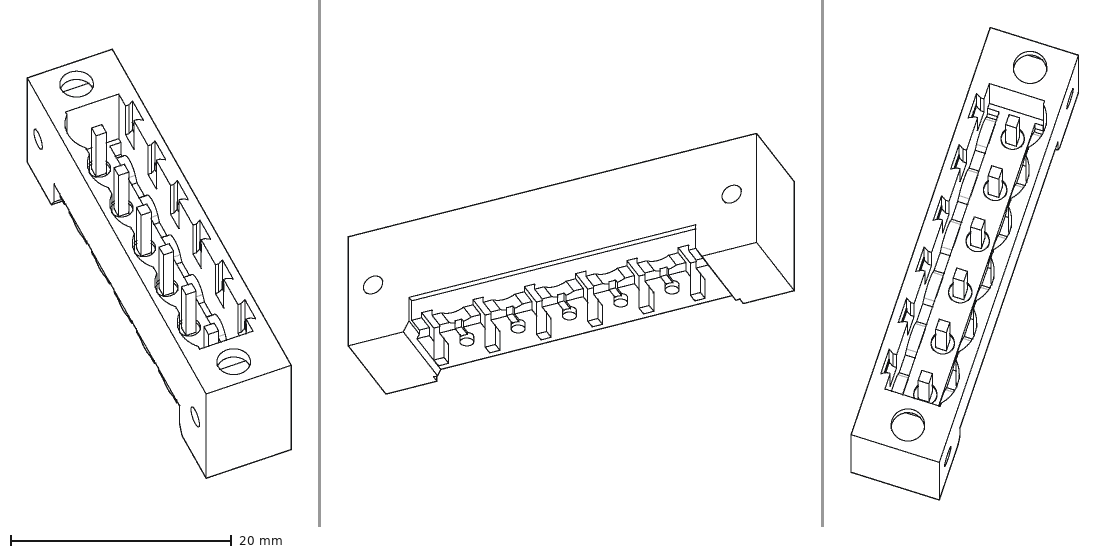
import cadquery as cq
import math

LENGTH = 40.5
WIDTH = 8.4
HEIGHT = 12.02
FRONT = -WIDTH / 2
BACK = WIDTH / 2

PIN_COUNT = 6
PIN_ROW_LENGTH = 25.42
PIN_PITCH = PIN_ROW_LENGTH / (PIN_COUNT - 1)
PIN_Y = -0.4
PIN_SIDE = 1.0
PIN_BOTTOM = -1.45
PIN_TOP = 11.1
PIN_XS = [i * PIN_PITCH - PIN_ROW_LENGTH / 2 for i in range(PIN_COUNT)]
MID_XS = [x + PIN_PITCH / 2 for x in PIN_XS[:-1]]

CAVITY_LENGTH = 30.35
CAVITY_HALF_WIDTH = 2.65
CAVITY_FLOOR = 5.65
SCALLOP_RADIUS = 3.1
SCALLOP_FRONT = -3.5

TRENCH_LENGTH = 29.4
TRENCH_FLOOR = 3.95
STRIP_FRONT = -1.9
STRIP_BACK = 1.55
RIDGE_WIDTH = 3.3
RIDGE_CROWN_RADIUS = 1.5
RIDGE_FLANK_ANGLE = 58.0

PIN_RECESS_DIAMETER = 2.1
PIN_RECESS_DEPTH = 0.4

DOVETAIL_NECK = 1.85
DOVETAIL_BASE = 2.43
DOVETAIL_NECK_END = 2.95
DOVETAIL_BACK = 3.45
DOVETAIL_FLOOR = 7.95

FLANGE_HOLE_X = 17.77
SCREW_HOLE_DIAMETER = 3.05
SCREW_HOLE_DEPTH = 1.17
NUT_SLOT_WIDTH = 3.72
NUT_SLOT_FLOOR = 9.1
CROSS_HOLE_DIAMETER = 1.9
CROSS_HOLE_Z = HEIGHT / 2

UNDERCUT_LENGTH = 28.4
CORE_BOTTOM = 0.6
FLANGE_CHAMFER_X = 0.55
FLANGE_CHAMFER_Z = 1.05
FRONT_RECESS_DEPTH = 0.6
WALL_FRONT = FRONT + FRONT_RECESS_DEPTH
FRONT_RECESS_TOP = 3.65
BACK_RECESS_LENGTH = CAVITY_LENGTH
BACK_RECESS_TOP = 8.85
FRONT_WALL_BOTTOM = 1.5
SAG_DEPTH = 0.3
SAG_WIDTH = 2.2
PIN_SLOT_TOP = 2.05

PEG_DIAMETER = 1.25
PEG_Y = PIN_Y
RIB_WIDTH = 0.65
RIB_BOTTOM = 0.35
RIB_FRONT = -2.3


def block(length, y_range, z_range, x=0.0):
    """Box centred on x, between the given Y and Z limits."""
    y0, y1 = y_range
    z0, z1 = z_range
    return cq.Workplane("XY").box(length, y1 - y0, z1 - z0).translate((x, (y0 + y1) / 2, (z0 + z1) / 2))


def upright(diameter, x, y, z0, z1):
    """Vertical cylinder from z0 to z1."""
    return cq.Workplane("XY", origin=(x, y, z0)).circle(diameter / 2).extrude(z1 - z0)


def make_scallop(x):
    """Round bay in the front wall of the cavity, opposite the pin at x."""
    round_bay = upright(2 * SCALLOP_RADIUS, x, SCALLOP_FRONT + SCALLOP_RADIUS, TRENCH_FLOOR, HEIGHT)
    return round_bay.intersect(block(PIN_PITCH, (FRONT, -CAVITY_HALF_WIDTH), (TRENCH_FLOOR, HEIGHT), x))


def make_ridge(x):
    """Ridge on the trench floor, running along Y: a round crown on two flanks tangent to it."""
    angle = math.radians(RIDGE_FLANK_ANGLE)
    half = RIDGE_WIDTH / 2
    tangent_x = RIDGE_CROWN_RADIUS * math.sin(angle)
    tangent_z = (half - tangent_x) * math.tan(angle)
    crown_z = tangent_z + RIDGE_CROWN_RADIUS * (1 - math.cos(angle))
    return (
        cq.Workplane("XZ", origin=(x, CAVITY_HALF_WIDTH, TRENCH_FLOOR))
        .moveTo(-half, 0)
        .lineTo(-tangent_x, tangent_z)
        .threePointArc((0, crown_z), (tangent_x, tangent_z))
        .lineTo(half, 0)
        .close()
        .extrude(CAVITY_HALF_WIDTH - FRONT)
    )


def make_cavity():
    """Open space above the cavity floor, including the trenches but not the ridges in them."""
    cavity = block(CAVITY_LENGTH, (-CAVITY_HALF_WIDTH, CAVITY_HALF_WIDTH), (CAVITY_FLOOR, HEIGHT))
    trench_z = (TRENCH_FLOOR, CAVITY_FLOOR)
    front_trench = block(TRENCH_LENGTH, (-CAVITY_HALF_WIDTH, STRIP_FRONT), trench_z)
    back_trench = block(TRENCH_LENGTH, (STRIP_BACK, CAVITY_HALF_WIDTH), trench_z)
    cavity = cavity.union(front_trench).union(back_trench)
    for x in PIN_XS:
        cavity = cavity.union(make_scallop(x))
    for x in PIN_XS:
        cavity = cavity.cut(make_ridge(x))
    return cavity


def make_dovetail(x):
    """Groove in the back wall: a straight neck that flares to a wider base."""
    neck = DOVETAIL_NECK / 2
    base = DOVETAIL_BASE / 2
    return (
        cq.Workplane("XY", origin=(x, 0, DOVETAIL_FLOOR))
        .polyline([
            (-neck, CAVITY_HALF_WIDTH),
            (neck, CAVITY_HALF_WIDTH),
            (neck, DOVETAIL_NECK_END),
            (base, DOVETAIL_BACK),
            (-base, DOVETAIL_BACK),
            (-neck, DOVETAIL_NECK_END),
        ])
        .close()
        .extrude(HEIGHT - DOVETAIL_FLOOR)
    )


def make_undercut(y0, y1, top):
    """Space between the flanges from Z = 0 up to top, widened at the foot by the flange chamfers."""
    half = UNDERCUT_LENGTH / 2
    foot = half + FLANGE_CHAMFER_X
    space = (
        cq.Workplane("XZ", origin=(0, y1, 0))
        .polyline([
            (-foot, 0),
            (foot, 0),
            (half, FLANGE_CHAMFER_Z),
            (half, HEIGHT),
            (-half, HEIGHT),
            (-half, FLANGE_CHAMFER_Z),
        ])
        .close()
        .extrude(y1 - y0)
    )
    return space.intersect(block(LENGTH, (y0, y1), (0, top)))


def make_sag(x):
    """Arched bulge on the lower edge of the front wall, midway between pins."""
    return (
        cq.Workplane("XZ", origin=(x, STRIP_FRONT, FRONT_WALL_BOTTOM))
        .moveTo(-SAG_WIDTH / 2, 0)
        .threePointArc((0, -SAG_DEPTH), (SAG_WIDTH / 2, 0))
        .close()
        .extrude(STRIP_FRONT - WALL_FRONT)
    )


def make_standoff(x):
    """Foot peg midway between two pins, with a rib on its front side."""
    peg = upright(PEG_DIAMETER, x, PEG_Y, 0, FRONT_WALL_BOTTOM)
    rib = block(RIB_WIDTH, (RIB_FRONT, PEG_Y), (RIB_BOTTOM, FRONT_WALL_BOTTOM), x)
    return peg.union(rib)


def make_pin_opening(x):
    """Room for one pin: its own hole, the round recess on top and the slot from the front wall."""
    recess = upright(PIN_RECESS_DIAMETER, x, PIN_Y, CAVITY_FLOOR - PIN_RECESS_DEPTH, CAVITY_FLOOR)
    slot = block(PIN_SIDE, (WALL_FRONT, PIN_Y), (0, PIN_SLOT_TOP), x)
    return make_pin(x).union(recess).union(slot)


def make_flange_holes(x):
    """Screw hole, the nut slot under it that opens at the back, and the cross hole."""
    slot_top = HEIGHT - SCREW_HOLE_DEPTH
    screw_hole = upright(SCREW_HOLE_DIAMETER, x, PIN_Y, slot_top, HEIGHT)
    nut_slot = block(NUT_SLOT_WIDTH, (PIN_Y - NUT_SLOT_WIDTH / 2, BACK), (NUT_SLOT_FLOOR, slot_top), x)
    cross_section = cq.Workplane("XZ", origin=(x, BACK, CROSS_HOLE_Z)).circle(CROSS_HOLE_DIAMETER / 2)
    cross_hole = cross_section.extrude(WIDTH)
    return screw_hole.union(nut_slot).union(cross_hole)


def make_housing():
    """Housing block with its cavity, underside, standoffs and openings."""
    body = block(LENGTH, (FRONT, BACK), (0, HEIGHT))
    body = body.cut(make_cavity())
    body = body.cut(make_undercut(FRONT, BACK, CORE_BOTTOM))
    body = body.cut(make_undercut(FRONT, STRIP_FRONT, FRONT_WALL_BOTTOM))
    body = body.cut(make_undercut(FRONT, WALL_FRONT, FRONT_RECESS_TOP))
    body = body.cut(block(BACK_RECESS_LENGTH, (DOVETAIL_BACK, BACK), (0, BACK_RECESS_TOP)))
    for x in MID_XS:
        body = body.union(make_sag(x)).union(make_standoff(x))
    for x in PIN_XS:
        body = body.cut(make_dovetail(x)).cut(make_pin_opening(x))
    for x in (-FLANGE_HOLE_X, FLANGE_HOLE_X):
        body = body.cut(make_flange_holes(x))
    return body


def make_pin(x):
    """Straight square pin."""
    half = PIN_SIDE / 2
    return block(PIN_SIDE, (PIN_Y - half, PIN_Y + half), (PIN_BOTTOM, PIN_TOP), x)


housing = make_housing()
pins = [make_pin(x) for x in PIN_XS]
result = cq.Compound.makeCompound([housing.val(), *[pin.val() for pin in pins]])